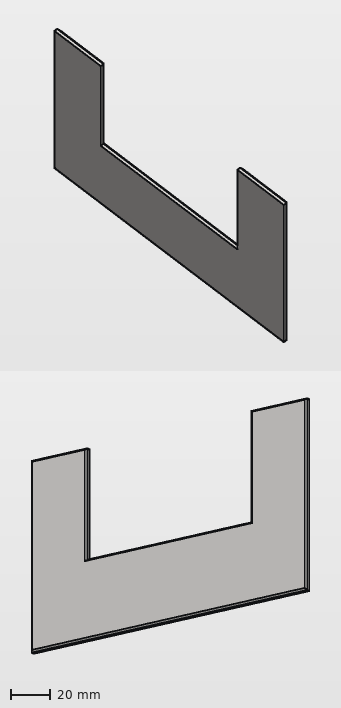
import cadquery as cq

width = 168.0
thickness = 3.0
height = 105.0

slot_width = 100.0
base_height = 44.0

bevel = 1.0


def plate_outline():
    """U-shaped outline in the XZ plane, centred on X with its foot at Z = 0."""
    half_width = width / 2
    half_slot = slot_width / 2
    return [
        (-half_width, 0),
        (half_width, 0),
        (half_width, height),
        (half_slot, height),
        (half_slot, base_height),
        (-half_slot, base_height),
        (-half_slot, height),
        (-half_width, height),
    ]


plate = cq.Workplane("XZ").polyline(plate_outline()).close().extrude(-thickness)

result = plate.faces(">Y").edges().chamfer(bevel)